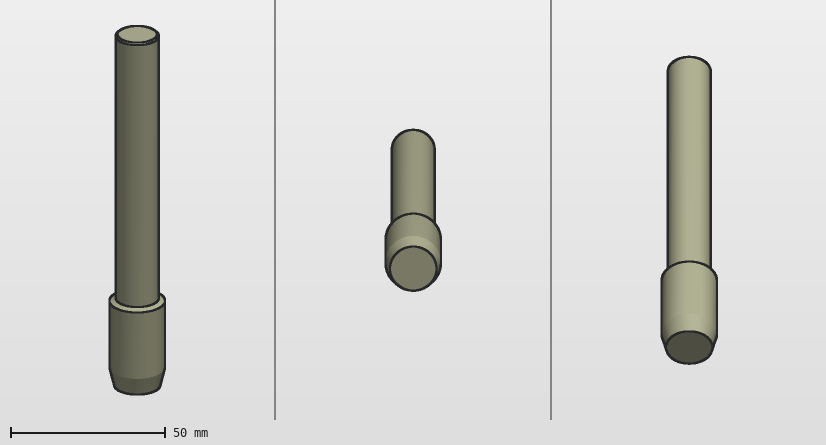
import cadquery as cq

total_length = 125.0

rod_diameter = 14.0
rod_chamfer = 0.6

head_diameter = 18.0
head_length = 31.0
foot_diameter = 15.0
foot_height = 6.2
shoulder_height = 1.0


def make_head():
    """Turned head: tapered foot, cylinder and shoulder narrowing to the rod diameter."""
    head_radius = head_diameter / 2
    return (
        cq.Workplane("YZ")
        .lineTo(foot_diameter / 2, 0)
        .lineTo(head_radius, foot_height)
        .lineTo(head_radius, head_length - shoulder_height)
        .lineTo(rod_diameter / 2, head_length)
        .lineTo(0, head_length)
        .close()
        .revolve(360, (0, 0, 0), (0, 1, 0))
    )


def make_rod():
    """Plain round rod from the top of the head to the full length, chamfered at the top."""
    return (
        cq.Workplane("XY")
        .workplane(offset=head_length)
        .circle(rod_diameter / 2)
        .extrude(total_length - head_length)
        .faces(">Z")
        .chamfer(rod_chamfer)
    )


head = make_head()
rod = make_rod()

result = cq.Compound.makeCompound([head.val(), rod.val()])